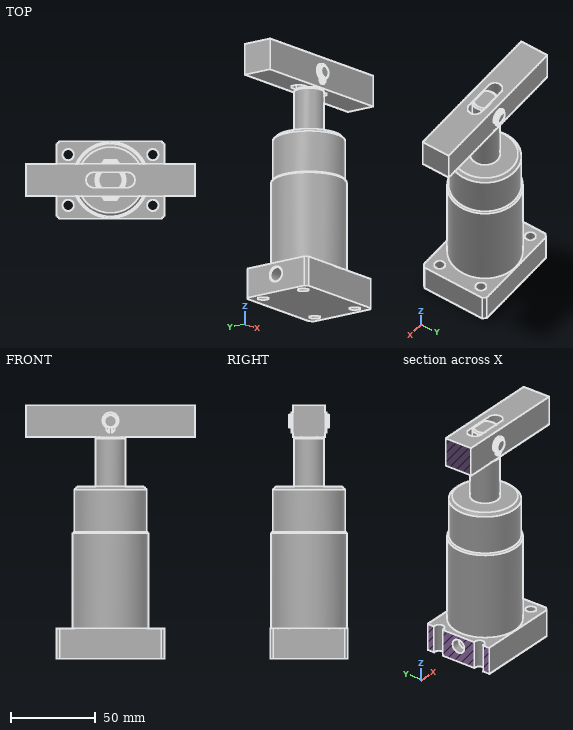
import cadquery as cq

flange_length = 64.0
flange_width = 46.0
flange_height = 18.0
flange_corner_chamfer = 2.0
mount_hole_diameter = 6.5
mount_hole_spacing_x = 50.0
mount_hole_spacing_y = 30.0
cylinder_diameter = 45.0
cylinder_top = 75.2
cylinder_chamfer = 1.0
head_diameter = cylinder_diameter - 2 * cylinder_chamfer
head_top = 102.0
head_chamfer = 2.0
port_diameter = 8.5
port_mouth_diameter = 9.4
port_height = 10.8
port_depth = 12.0

arm_length = 100.0
arm_section = 19.0
arm_top = 150.0
arm_bottom = arm_top - arm_section
slot_length = 29.0
slot_width = 9.0

rod_diameter = 18.0
shoulder_chamfer_radial = 0.5
shoulder_chamfer_height = 1.0
tongue_top = 149.2
tongue_diameter = 16.0
tongue_chamfer = 1.0

pin_height = arm_top - arm_section / 2
pin_diameter = 8.0
pin_length = 24.0
pin_chamfer = 0.5
groove_diameter = 7.6
ring_thickness = 1.0
ring_outer_diameter = 9.6
ring_eccentricity = 0.4
ear_width = 5.0
ear_reach = 7.0
ear_corner_chamfer = 1.6
ear_gap = 1.4
notch_span = 2.4
notch_height = 1.2
notch_drop = 5.2


def make_housing():
    flange = (
        cq.Workplane("XY")
        .box(flange_length, flange_width, flange_height, centered=(True, True, False))
        .edges("|Z")
        .chamfer(flange_corner_chamfer)
        .faces(">Z")
        .workplane()
        .rect(mount_hole_spacing_x, mount_hole_spacing_y, forConstruction=True)
        .vertices()
        .hole(mount_hole_diameter)
    )
    cylinder = (
        cq.Workplane("XY", origin=(0, 0, flange_height))
        .circle(cylinder_diameter / 2)
        .extrude(cylinder_top - flange_height)
        .faces(">Z")
        .chamfer(cylinder_chamfer)
    )
    head = (
        cq.Workplane("XY", origin=(0, 0, cylinder_top))
        .circle(head_diameter / 2)
        .extrude(head_top - cylinder_top)
        .faces(">Z")
        .chamfer(head_chamfer)
    )
    return flange.union(cylinder).union(head).cut(make_port())


def make_port():
    """Blind oil port with a countersunk mouth in the -X face of the flange."""
    bore_radius = port_diameter / 2
    mouth_radius = port_mouth_diameter / 2
    countersink_depth = mouth_radius - bore_radius
    half_section = (
        cq.Workplane("XZ", origin=(-flange_length / 2, 0, port_height))
        .polyline([
            (0, 0),
            (0, mouth_radius),
            (countersink_depth, bore_radius),
            (port_depth, bore_radius),
            (port_depth, 0),
        ])
        .close()
    )
    return half_section.revolve(360, (0, 0, 0), (1, 0, 0))


def cylinder_along_y(diameter, length):
    """Cylinder on the pin axis, centred on Y = 0."""
    return (
        cq.Workplane("XZ", origin=(0, 0, pin_height))
        .circle(diameter / 2)
        .extrude(length / 2, both=True)
    )


def pin_hole():
    """Cutter for the pin, as long as the arm is wide."""
    return cylinder_along_y(pin_diameter, arm_section)


def make_rod():
    shank = (
        cq.Workplane("XY", origin=(0, 0, head_top))
        .circle(rod_diameter / 2)
        .extrude(arm_bottom - head_top)
        .faces(">Z")
        .chamfer(shoulder_chamfer_height, shoulder_chamfer_radial)
    )
    tongue = (
        cq.Workplane("XY", origin=(0, 0, arm_bottom))
        .circle(tongue_diameter / 2)
        .extrude(tongue_top - arm_bottom)
        .faces(">Z")
        .chamfer(tongue_chamfer)
    )
    flats = cq.Workplane("XY").box(rod_diameter, slot_width, 2 * arm_top)
    return shank.union(tongue.intersect(flats)).cut(pin_hole())


def make_arm():
    bar = cq.Workplane("XY", origin=(0, 0, arm_bottom)).box(
        arm_length, arm_section, arm_section, centered=(True, True, False)
    )
    slot = (
        cq.Workplane("XY", origin=(0, 0, arm_bottom))
        .slot2D(slot_length, slot_width)
        .extrude(arm_section)
    )
    return bar.cut(slot).cut(pin_hole())


def make_pin():
    pin = cylinder_along_y(pin_diameter, pin_length).edges().chamfer(pin_chamfer)
    grooved_length = arm_section + 2 * ring_thickness
    groove_stock = cylinder_along_y(pin_diameter, grooved_length)
    groove_core = cylinder_along_y(groove_diameter, grooved_length)
    grooves = groove_stock.cut(groove_core).cut(pin_hole())
    return pin.cut(grooves)


def make_retaining_ring(inner_y):
    """Eccentric ring running from inner_y towards +Y.

    Two ears point down either side of a gap, and a round notch in each ear opens into that gap.
    """
    plane = cq.Workplane("XZ", origin=(0, inner_y, pin_height))
    disc = (
        plane.center(0, ring_eccentricity)
        .circle(ring_outer_diameter / 2)
        .extrude(-ring_thickness)
    )
    ears = (
        plane.center(0, -ear_reach / 2)
        .rect(ear_width, ear_reach)
        .extrude(-ring_thickness)
        .edges("|Y and <Z")
        .chamfer(ear_corner_chamfer)
    )
    gap = plane.center(0, -ear_reach / 2).rect(ear_gap, ear_reach).extrude(-ring_thickness)
    bore = plane.circle(groove_diameter / 2).extrude(-ring_thickness)
    notches = (
        plane.center(0, -notch_drop)
        .slot2D(notch_span, notch_height)
        .extrude(-ring_thickness)
    )
    return disc.union(ears).cut(bore).cut(gap).cut(notches)


housing = make_housing()
rod = make_rod()
arm = make_arm()
pin = make_pin()
ring_starts = (-arm_section / 2 - ring_thickness, arm_section / 2)
retaining_rings = [make_retaining_ring(inner_y) for inner_y in ring_starts]

result = cq.Compound.makeCompound(
    [housing.val(), rod.val(), arm.val(), pin.val(), *[ring.val() for ring in retaining_rings]]
)